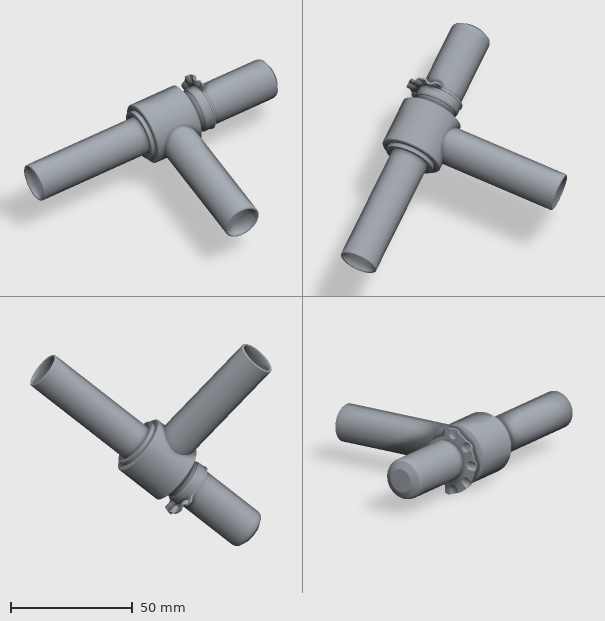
import cadquery as cq
import math

OVERALL_X = 76.5
OVERALL_Y = 113.5
SLEEVE_TOP_Y = 50.6
DOME_CREASE_Y = 49.0
DOME_BASE_Y = 47.2
SLEEVE_RIM_Y = 46.9
CONE_TOP_Y = 11.9
BARREL_TOP_Y = 9.7
BARREL_BOTTOM_Y = -10.9
SHOULDER_BOTTOM_Y = -12.6
MAIN_PIPE_END_Y = SLEEVE_TOP_Y - OVERALL_Y
BORE_SEAT_Y = SHOULDER_BOTTOM_Y
PORT_BOTTOM_Y = -6.8

SLEEVE_R = 17.4 / 2
DOME_R = 17.3 / 2
DOME_FLAT_R = 5.0
DOME_CREASE_R = 8.0
BARREL_R = 26.0 / 2
BARREL_CHAMFER = 0.3
SHOULDER_R = 21.0 / 2
SOCKET_R = 17.3 / 2
SOCKET_DEPTH = 0.6
PIPE_R = 16.0 / 2
PIPE_BORE_R = 14.0 / 2
PIPE_END_CHAMFER = 0.3
BORE_FLARE = 0.28
PORT_MOUTH_R = 3.9
PORT_R = 6.5 / 2
BRANCH_BORE_START_X = 17.0

RING_TOP_Y = 18.3
RING_BOTTOM_Y = 13.5
SHEET = 0.7
COLLAR_R = 19.0 / 2
COLLAR_CHAMFER_RADIAL = 0.2
COLLAR_CHAMFER_LENGTH = 0.7
FLANGE_R = 9.9
TAB_R = 14.4
TAB_END_X = 0.3
TAB_TIP_FILLET = 1.4
TAB_ROOT_FILLET = 1.1
DIMPLE_COUNT = 5
DIMPLE_PITCH = 36
DIMPLE_OUTER_R = 2.7
DIMPLE_AXIS_LIFT = 0.7
DIMPLE_AXIS_Y = RING_TOP_Y + DIMPLE_AXIS_LIFT
DIMPLE_INNER_R = DIMPLE_OUTER_R - SHEET
DIMPLE_CENTRE_R = 12.5

BRANCH_END_X = OVERALL_X - TAB_R


def disc(radius, y_low, y_high):
    """Solid cylinder about the Y axis."""
    return cq.Workplane("XZ", origin=(0, y_high, 0)).circle(radius).extrude(y_high - y_low)


def make_outer_body():
    """Turned outside of sleeve, barrel, shoulder and main pipe."""
    rise = DOME_CREASE_Y - DOME_BASE_Y
    inset = DOME_R - DOME_CREASE_R
    arc_r = (rise**2 + inset**2) / (2 * inset)
    half_sweep = math.asin(rise / arc_r) / 2
    arc_middle = (
        DOME_R - arc_r + arc_r * math.cos(half_sweep),
        DOME_BASE_Y + arc_r * math.sin(half_sweep),
    )
    profile = (
        cq.Workplane("XY")
        .moveTo(0, SLEEVE_TOP_Y)
        .lineTo(DOME_FLAT_R, SLEEVE_TOP_Y)
        .lineTo(DOME_CREASE_R, DOME_CREASE_Y)
        .threePointArc(arc_middle, (DOME_R, DOME_BASE_Y))
        .lineTo(SLEEVE_R, SLEEVE_RIM_Y)
        .lineTo(SLEEVE_R, CONE_TOP_Y)
        .lineTo(BARREL_R, BARREL_TOP_Y)
        .lineTo(BARREL_R, BARREL_BOTTOM_Y + BARREL_CHAMFER)
        .lineTo(BARREL_R - BARREL_CHAMFER, BARREL_BOTTOM_Y)
        .lineTo(SHOULDER_R, BARREL_BOTTOM_Y)
        .lineTo(SHOULDER_R, SHOULDER_BOTTOM_Y)
        .lineTo(SOCKET_R, SHOULDER_BOTTOM_Y)
        .lineTo(SOCKET_R, SHOULDER_BOTTOM_Y + SOCKET_DEPTH)
        .lineTo(PIPE_R, SHOULDER_BOTTOM_Y + SOCKET_DEPTH)
        .lineTo(PIPE_R, MAIN_PIPE_END_Y + PIPE_END_CHAMFER)
        .lineTo(PIPE_R - PIPE_END_CHAMFER, MAIN_PIPE_END_Y)
        .lineTo(0, MAIN_PIPE_END_Y)
        .close()
    )
    return profile.revolve(360, (0, 0, 0), (0, 1, 0))


def make_bore(start, end):
    """Pipe bore along Y that flares slightly at its open end."""
    flare_start = end + BORE_FLARE
    return (
        cq.Workplane("XY")
        .moveTo(0, start)
        .lineTo(PIPE_BORE_R, start)
        .lineTo(PIPE_BORE_R, flare_start)
        .lineTo(PIPE_BORE_R + BORE_FLARE, end)
        .lineTo(0, end)
        .close()
        .revolve(360, (0, 0, 0), (0, 1, 0))
    )


def make_port():
    """Blind tapered port beyond the main pipe bore."""
    return (
        cq.Workplane("XY")
        .moveTo(0, BORE_SEAT_Y)
        .lineTo(PORT_MOUTH_R, BORE_SEAT_Y)
        .lineTo(PORT_R, PORT_BOTTOM_Y)
        .lineTo(0, PORT_BOTTOM_Y)
        .close()
        .revolve(360, (0, 0, 0), (0, 1, 0))
    )


def make_valve():
    branch = cq.Workplane("YZ").circle(PIPE_R).extrude(BRANCH_END_X).faces(">X").chamfer(PIPE_END_CHAMFER)
    main_bore = make_bore(BORE_SEAT_Y, MAIN_PIPE_END_Y)
    branch_bore = make_bore(-BRANCH_BORE_START_X, -BRANCH_END_X).rotate((0, 0, 0), (0, 0, 1), 90)
    return make_outer_body().union(branch).cut(branch_bore).cut(main_bore).cut(make_port())


def make_tab_plate():
    """Flat flange whose -X side widens into a half-round tab with rounded ends."""
    plate_bottom_y = RING_TOP_Y - SHEET
    tab_side = (
        cq.Workplane("XZ", origin=(TAB_END_X - TAB_R, RING_TOP_Y, 0))
        .rect(2 * TAB_R, 2 * TAB_R)
        .extrude(SHEET)
    )
    tab = disc(TAB_R, plate_bottom_y, RING_TOP_Y).intersect(tab_side)
    plate = tab.union(disc(FLANGE_R, plate_bottom_y, RING_TOP_Y))
    half_height = math.sqrt(TAB_R**2 - TAB_END_X**2)
    root_height = math.sqrt(FLANGE_R**2 - TAB_END_X**2)
    for corner_z, radius in ((half_height, TAB_TIP_FILLET), (root_height, TAB_ROOT_FILLET)):
        for side in (1, -1):
            corner = (TAB_END_X, plate_bottom_y + SHEET / 2, side * corner_z)
            plate = plate.edges(cq.NearestToPointSelector(corner)).fillet(radius)
    return plate


def make_dimples(radius):
    """Round-ended radial fingers with axes just above the tab."""
    finger = (
        cq.Workplane("YZ", origin=(-DIMPLE_CENTRE_R, DIMPLE_AXIS_Y, 0))
        .circle(radius)
        .extrude(-TAB_R)
        .union(cq.Workplane("XY").sphere(radius).translate((-DIMPLE_CENTRE_R, DIMPLE_AXIS_Y, 0)))
    )
    fingers = cq.Workplane("XY")
    for index in range(DIMPLE_COUNT):
        angle = (index - (DIMPLE_COUNT - 1) / 2) * DIMPLE_PITCH
        fingers = fingers.union(finger.rotate((0, 0, 0), (0, 1, 0), angle))
    return fingers


def make_index_ring():
    collar = (
        cq.Workplane("XY")
        .moveTo(0, RING_TOP_Y)
        .lineTo(COLLAR_R, RING_TOP_Y)
        .lineTo(COLLAR_R, RING_BOTTOM_Y + COLLAR_CHAMFER_LENGTH)
        .lineTo(COLLAR_R - COLLAR_CHAMFER_RADIAL, RING_BOTTOM_Y)
        .lineTo(0, RING_BOTTOM_Y)
        .close()
        .revolve(360, (0, 0, 0), (0, 1, 0))
    )
    bumps = make_dimples(DIMPLE_OUTER_R).intersect(disc(TAB_R, RING_BOTTOM_Y, RING_TOP_Y))
    ring = make_tab_plate().union(bumps).cut(make_dimples(DIMPLE_INNER_R)).union(collar)
    return ring.cut(disc(SLEEVE_R, RING_BOTTOM_Y, RING_TOP_Y))


valve = make_valve()
index_ring = make_index_ring()
result = cq.Compound.makeCompound([valve.val(), index_ring.val()])